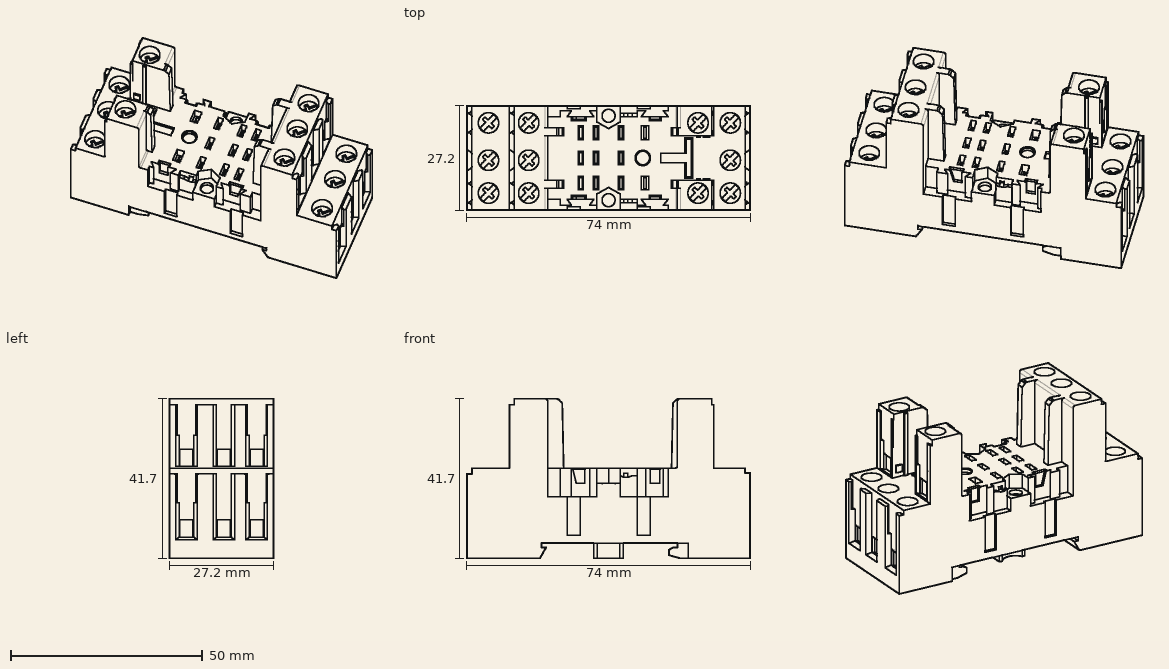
import cadquery as cq

LENGTH = 74.0
WIDTH = 27.2
HEIGHT = 41.7
HALF_WIDTH = WIDTH / 2
DECK_Z = 23.6
SIDES = (1, -1)

LEFT_TIER_X = (11.1, 21.1)
RIGHT_TOWER_X = (55.0, 64.5)
TOWER_INNER_Y = 5.85
INNER_EDGE_RADIUS = 0.75
TOWER_FOOT_RADIUS = 0.45
LEFT_SETBACK = 1.25
RIGHT_SETBACK = 1.3
TOWER_SETBACK = 0.5
UPPER_LIP_Z = 40.2
LEFT_LIP_Z = 22.05
RIGHT_LIP_Z = 22.35

TERMINAL_Y = (9.2, -0.6, -9.2)
MIDDLE_TERMINAL_Y = TERMINAL_Y[1]
OUTER_TERMINAL_Y = (TERMINAL_Y[0], TERMINAL_Y[2])
CHANNEL_HALF_MOUTH = 2.8
CHANNEL_HALF_BACK = 1.9
CHANNEL_HALF_FLARE = 3.1
CHANNEL_NECK_FRACTION = 0.4
LOWER_CHANNEL_FLOOR = 4.8
LOWER_CHANNEL_STEP = 14.5
LOWER_FLOOR_RISE = 0.75
UPPER_CHANNEL_FLOOR = 24.05
UPPER_CHANNEL_STEP = 32.2
WINDOW_WIDTH = 3.4
WINDOW_HEIGHT = 4.5
WINDOW_DEPTH = 0.7
LEFT_SCREW_X = (5.6, 16.1)
RIGHT_SCREW_X = (60.4, 68.8)
SCREW_RADIUS = 2.7
SCREW_DEPTH = 3.1
SCREW_SLOT = (5.0, 1.25, 0.75)
SCREW_CROSS_SLOT = (3.4, 0.9, 0.75)
SCREW_SLOT_ANGLE = 45

RIB_Y = (TOWER_INNER_Y, 7.9)
LEFT_RIB_X = 25.3
RIGHT_RIB_X = 53.4
RIB_DRAFT = 0.4
RIB_CHAMFER = 0.95
RIB_FACET_WIDTH = 0.5
RIB_FACET_DROP = 0.2

KEY_DEPTH = 0.45
TALL_KEY_X = (60.1, 61.0)
TALL_KEY_DROP = 0.4
SHORT_KEY_X = (61.8, 63.5)
SHORT_KEY_Z = (25.0, 27.0)

POCKET_FLOOR_Z = 16.05
DECK_EDGE_Y = 10.8
POST_EDGE_Y = 12.35
LEFT_POCKET_X = (LEFT_TIER_X[1], 34.0)
RIGHT_POCKET_X = (40.0, 52.55)
LEFT_POST_X = 24.4
RIGHT_POST_X = 44.5
LEFT_DOVETAIL = (26.2, 27.3, 32.05, 33.15)
RIGHT_DOVETAIL = (45.6, 46.7, 51.35, 52.55)
GROOVE_X = (26.2, 44.5)
GROOVE_WIDTH = 3.4
GROOVE_DEPTH = 0.8
GROOVE_FLOOR_Z = 6.0
LEDGE_Y = 11.7

WINDOW_MOUTH_REACH = 1.1
WINDOW_CHAMFER = 0.4
WINDOW_FLOOR_Z = 19.6
LEFT_MOUTH_X = (27.3, 31.15)
RIGHT_MOUTH_X = (47.6, 50.8)
LEFT_WINDOW_SLANT = 0.9
LEDGE_HIGH_Z = 21.6
LEDGE_LOW_Z = 21.2
LATCH_HOLE_X = (40.9, 42.0)
LATCH_HOLE_HEIGHT = 1.1
LATCH_HOLE_DEPTH = 0.75
TROUGH_RAMP_END_X = 43.2

HEX_X = (LEFT_POCKET_X[1], RIGHT_POCKET_X[0])
HEX_CENTER_X = sum(HEX_X) / 2
HEX_SHOULDER_Y = 9.4
HEX_TIP_Y = 7.7
HEX_FLOOR_Z = 19.6
HEX_HOLE_Y = 11.0
HEX_HOLE_RADIUS = 1.7
HEX_HOLE_DEPTH = 1.1
SLOT_COLUMNS_X = (29.75, 33.75, 40.25)
SLOT_OUTER_Y = 6.6
SLOT_SIZE = (1.4, 3.55)
WIDE_SLOT_X = 46.55
WIDE_SLOT_SIZE = (2.0, 3.55)
SLOT_THROAT_WIDTH = 0.75
SLOT_END_MARGIN = 0.4
SLOT_MOUTH_DEPTH = 2.6
SLOT_DEPTH = 4.45
PIN_HOLE_X = 45.95
PIN_HOLE_RADIUS = 1.8
PIN_HOLE_DEPTH = 1.1
PIN_HOLE_CHAMFER = 0.2
TEE_BAR_X = (56.9, 59.0)
TEE_BAR_HALF = 5.25
TEE_STEM_X = 50.7
TEE_STEM_HALF = 1.25
TEE_DEPTH = 0.75
TEE_WALL_SLOPE = 27

RAIL_Z = 4.0
HOOK_LEDGE_Z = 2.9
HOOK_BASE_X = 19.1
HOOK_TIP_X = 20.7
HOOK_WALL_X = 19.5
CLIP_BASE_X = 57.9
CLIP_TOE_X = 55.65
CLIP_NOSE_X = 52.75
CLIP_NOSE_Z = (0.8, 2.2)
CLIP_LEDGE_X = (53.9, 55.0)
CLIP_INSET = 1.1
CLIP_HALF_WIDTH = HALF_WIDTH - CLIP_INSET
BLOCK_WIDTH = 7.8
BLOCK_HALF_Y = 9.25
SCOOP_RADIUS = 3.4
SCOOP_CENTER_Y = 10.9


def box(x, y, z):
    """Box spanning three (low, high) ranges given in either order."""
    spans = [(min(r), max(r)) for r in (x, y, z)]
    sizes = [high - low for low, high in spans]
    corner = [low for low, high in spans]
    return cq.Workplane("XY").box(*sizes, centered=False).translate(tuple(corner))


def prism_y(points, y):
    """Extrude an XZ outline between two Y positions."""
    low, high = min(y), max(y)
    return cq.Workplane("XZ", origin=(0, low, 0)).polyline(points).close().extrude(low - high)


def prism_z(points, z):
    """Extrude an XY outline between two heights."""
    low, high = z
    return cq.Workplane("XY", origin=(0, 0, low)).polyline(points).close().extrude(high - low)


def body():
    """Stepped base, deck and rail gap as one side outline, with the upper tiers added."""
    outline = [
        (0, 0), (HOOK_BASE_X, 0), (HOOK_TIP_X, HOOK_LEDGE_Z), (HOOK_WALL_X, HOOK_LEDGE_Z),
        (HOOK_WALL_X, RAIL_Z), (CLIP_BASE_X, RAIL_Z), (CLIP_BASE_X, 0), (LENGTH, 0),
        (LENGTH, RIGHT_LIP_Z), (LENGTH - RIGHT_SETBACK, RIGHT_LIP_Z),
        (LENGTH - RIGHT_SETBACK, DECK_Z), (LEFT_SETBACK, DECK_Z),
        (LEFT_SETBACK, LEFT_LIP_Z), (0, LEFT_LIP_Z),
    ]
    solid = prism_y(outline, (-HALF_WIDTH, HALF_WIDTH))
    solid = solid.union(left_tier())
    for side in SIDES:
        solid = solid.union(right_tower(side))
        for rib in guide_ribs(side):
            solid = solid.union(rib)
    return solid


def left_tier():
    low, high = LEFT_TIER_X
    side_to_side = (-HALF_WIDTH, HALF_WIDTH)
    tier = box(LEFT_TIER_X, side_to_side, (DECK_Z, HEIGHT))
    tier = tier.edges("|Y and >X and >Z").fillet(INNER_EDGE_RADIUS)
    return tier.cut(box((low, low + LEFT_SETBACK), side_to_side, (UPPER_LIP_Z, HEIGHT)))


def right_tower(side):
    """Terminal tower with a rounded inner edge, a filleted foot, and two small keys inside."""
    low, high = RIGHT_TOWER_X
    across = (side * TOWER_INNER_Y, side * HALF_WIDTH)
    tower = box(RIGHT_TOWER_X, across, (DECK_Z, HEIGHT))
    tower = tower.edges("|Y and <X and >Z").fillet(INNER_EDGE_RADIUS)
    tower = tower.cut(box((high - TOWER_SETBACK, high), across, (UPPER_LIP_Z, HEIGHT)))

    foot_profile = (
        cq.Workplane("XZ", origin=(0, min(across), 0))
        .moveTo(low, DECK_Z)
        .lineTo(low - TOWER_FOOT_RADIUS, DECK_Z)
        .radiusArc((low, DECK_Z + TOWER_FOOT_RADIUS), -TOWER_FOOT_RADIUS)
        .close()
    )
    foot = foot_profile.extrude(-(HALF_WIDTH - TOWER_INNER_Y))

    key_y = (side * (TOWER_INNER_Y - KEY_DEPTH), side * TOWER_INNER_Y)
    tall_key = box(TALL_KEY_X, key_y, (DECK_Z, HEIGHT - TALL_KEY_DROP))
    short_key = box(SHORT_KEY_X, key_y, SHORT_KEY_Z)
    return tower.union(foot).union(tall_key).union(short_key)


def guide_rib(root_x, tip_x, outward, side):
    """Drafted rib with a two-facet top corner; outward is its X direction from the tower."""
    top_x = tip_x - outward * RIB_DRAFT
    knee_x = top_x - outward * RIB_CHAMFER
    knee_z = HEIGHT - RIB_FACET_DROP
    outline = [
        (root_x, DECK_Z), (tip_x, DECK_Z), (top_x, knee_z - RIB_CHAMFER),
        (knee_x, knee_z), (knee_x - outward * RIB_FACET_WIDTH, HEIGHT), (root_x, HEIGHT),
    ]
    return prism_y(outline, [side * y for y in RIB_Y])


def guide_ribs(side):
    """Ribs facing each other across the deck, rooted behind the rounded tower edges."""
    left_root = LEFT_TIER_X[1] - INNER_EDGE_RADIUS
    right_root = RIGHT_TOWER_X[0] + INNER_EDGE_RADIUS
    return guide_rib(left_root, LEFT_RIB_X, 1, side), guide_rib(right_root, RIGHT_RIB_X, -1, side)


def channel(face_x, inward, depth, y, floor, step, top, floor_rise):
    """Tapered wire channel, flared behind a neck on the outer terminals, with a window in its back.

    inward is +1 or -1, the X direction from the face into the body.
    """
    back_x = face_x + inward * depth

    neck_x = face_x + inward * depth * CHANNEL_NECK_FRACTION
    taper = CHANNEL_HALF_MOUTH - CHANNEL_HALF_BACK
    half_neck = CHANNEL_HALF_MOUTH - taper * CHANNEL_NECK_FRACTION

    narrow = [
        (face_x, y - CHANNEL_HALF_MOUTH), (back_x, y - CHANNEL_HALF_BACK),
        (back_x, y + CHANNEL_HALF_BACK), (face_x, y + CHANNEL_HALF_MOUTH),
    ]
    cutter = prism_z(narrow, (floor, top))
    if y != MIDDLE_TERMINAL_Y:
        flare = [
            (neck_x, y - half_neck), (back_x, y - CHANNEL_HALF_FLARE),
            (back_x, y + CHANNEL_HALF_FLARE), (neck_x, y + half_neck),
        ]
        cutter = cutter.union(prism_z(flare, (step, top)))
    if floor_rise:
        ramp = [(face_x, floor), (back_x, floor), (back_x, floor + floor_rise)]
        cutter = cutter.cut(prism_y(ramp, (y - CHANNEL_HALF_MOUTH, y + CHANNEL_HALF_MOUTH)))
    sill = floor + floor_rise
    window = box(
        (back_x, back_x + inward * WINDOW_DEPTH),
        (y - WINDOW_WIDTH / 2, y + WINDOW_WIDTH / 2),
        (sill, sill + WINDOW_HEIGHT),
    )
    return cutter.union(window)


def lower_channel(face_x, inward, depth, y, top):
    return channel(face_x, inward, depth, y, LOWER_CHANNEL_FLOOR, LOWER_CHANNEL_STEP, top, LOWER_FLOOR_RISE)


def upper_channel(face_x, inward, depth, y):
    return channel(face_x, inward, depth, y, UPPER_CHANNEL_FLOOR, UPPER_CHANNEL_STEP, UPPER_LIP_Z, 0)


def wire_channels():
    cutters = []
    for y in TERMINAL_Y:
        cutters.append(lower_channel(0, 1, LEFT_SETBACK, y, LEFT_LIP_Z))
        cutters.append(upper_channel(LEFT_TIER_X[0], 1, LEFT_SETBACK, y))
        cutters.append(lower_channel(LENGTH, -1, RIGHT_SETBACK, y, RIGHT_LIP_Z))
    for y in OUTER_TERMINAL_Y:
        cutters.append(upper_channel(RIGHT_TOWER_X[1], -1, TOWER_SETBACK, y))
    return cutters


def screw_well(x, y, top):
    """Round well whose floor carries the crossed driver slots of a screw head."""
    floor = top - SCREW_DEPTH
    well = cq.Workplane("XY", origin=(x, y, floor)).circle(SCREW_RADIUS).extrude(SCREW_DEPTH)
    for (length, width, depth), angle in (
        (SCREW_SLOT, SCREW_SLOT_ANGLE),
        (SCREW_CROSS_SLOT, SCREW_SLOT_ANGLE + 90),
    ):
        slot = cq.Workplane("XY").rect(length, width).extrude(-depth)
        slot = slot.rotate((0, 0, 0), (0, 0, 1), angle).translate((x, y, floor))
        well = well.union(slot)
    return well


def screw_wells():
    rows = (
        (LEFT_SCREW_X[0], TERMINAL_Y, DECK_Z),
        (LEFT_SCREW_X[1], TERMINAL_Y, HEIGHT),
        (RIGHT_SCREW_X[0], OUTER_TERMINAL_Y, HEIGHT),
        (RIGHT_SCREW_X[1], TERMINAL_Y, DECK_Z),
    )
    return [screw_well(x, y, top) for x, row, top in rows for y in row]


def side_pockets(side):
    """Open side pockets, leaving dovetail-edged posts against the deck."""
    outer_y = side * HALF_WIDTH
    post_y = side * POST_EDGE_Y
    deck_y = side * DECK_EDGE_Y
    depth_range = (POCKET_FLOOR_Z, DECK_Z)

    cutters = [box(span, (post_y, outer_y), depth_range) for span in (LEFT_POCKET_X, RIGHT_POCKET_X)]
    cutters.append(box((LEFT_POCKET_X[0], LEFT_POST_X), (deck_y, outer_y), depth_range))
    cutters.append(box((RIGHT_POCKET_X[0], RIGHT_POST_X), (side * LEDGE_Y, outer_y), depth_range))
    for wide_low, narrow_low, narrow_high, wide_high in (LEFT_DOVETAIL, RIGHT_DOVETAIL):
        dovetail = [(wide_low, deck_y), (narrow_low, post_y), (narrow_high, post_y), (wide_high, deck_y)]
        cutters.append(prism_z(dovetail, depth_range))
    for x in GROOVE_X:
        groove_y = (side * (HALF_WIDTH - GROOVE_DEPTH), outer_y)
        cutters.append(box((x, x + GROOVE_WIDTH), groove_y, (GROOVE_FLOOR_Z, POCKET_FLOOR_Z)))
    return cutters


def latch_window(mouth_x, slant, side):
    """Window behind a dovetail: chamfered mouth at the deck above a lower opening."""
    low, high = mouth_x
    mouth = (
        cq.Workplane("XY", origin=((low + high) / 2, side * DECK_EDGE_Y, DECK_Z))
        .rect(high - low, 2 * WINDOW_MOUTH_REACH)
        .extrude(-WINDOW_CHAMFER, taper=45)
    )
    neck_low = low + WINDOW_CHAMFER
    neck_high = high - WINDOW_CHAMFER
    neck_z = DECK_Z - WINDOW_CHAMFER
    outline = [
        (neck_low, neck_z), (neck_low + slant, WINDOW_FLOOR_Z),
        (neck_high, WINDOW_FLOOR_Z), (neck_high, neck_z),
    ]
    neck_y = side * (DECK_EDGE_Y - WINDOW_MOUTH_REACH + WINDOW_CHAMFER)
    return mouth.union(prism_y(outline, (neck_y, side * DECK_EDGE_Y)))


def latch_openings(side):
    """Latch windows, and the troughed ledge with a small square hole next to the hexagon recess."""
    hole_y = (side * (DECK_EDGE_Y - LATCH_HOLE_DEPTH), side * DECK_EDGE_Y)
    low, high = RIGHT_POCKET_X[0], RIGHT_POST_X
    trough = [
        (low, DECK_Z), (low, LEDGE_HIGH_Z), (LATCH_HOLE_X[0], LEDGE_LOW_Z), (LATCH_HOLE_X[1], LEDGE_LOW_Z),
        (TROUGH_RAMP_END_X, LEDGE_HIGH_Z), (high, LEDGE_HIGH_Z), (high, DECK_Z),
    ]
    return [
        latch_window(LEFT_MOUTH_X, LEFT_WINDOW_SLANT, side),
        latch_window(RIGHT_MOUTH_X, 0, side),
        prism_y(trough, (side * DECK_EDGE_Y, side * LEDGE_Y)),
        box(LATCH_HOLE_X, hole_y, (LEDGE_LOW_Z, LEDGE_LOW_Z + LATCH_HOLE_HEIGHT)),
    ]


def hex_recess(side):
    """Half-hexagon recess open to the side, with a round screw seat in its floor."""
    low, high = HEX_X
    outline = [
        (low, side * HALF_WIDTH), (low, side * HEX_SHOULDER_Y), (HEX_CENTER_X, side * HEX_TIP_Y),
        (high, side * HEX_SHOULDER_Y), (high, side * HALF_WIDTH),
    ]
    seat = (
        cq.Workplane("XY", origin=(HEX_CENTER_X, side * HEX_HOLE_Y, HEX_FLOOR_Z))
        .circle(HEX_HOLE_RADIUS)
        .extrude(-HEX_HOLE_DEPTH)
    )
    return prism_z(outline, (HEX_FLOOR_Z, DECK_Z)).union(seat)


def contact_slot(x, y, size):
    """Rectangular contact slot that narrows below its mouth."""
    width, length = size
    top = cq.Workplane("XY", origin=(x, y, DECK_Z))
    mouth = top.rect(width, length).extrude(-SLOT_MOUTH_DEPTH)
    throat = top.rect(SLOT_THROAT_WIDTH, length - 2 * SLOT_END_MARGIN).extrude(-SLOT_DEPTH)
    return mouth.union(throat)


def contact_slots():
    slots = [
        contact_slot(x, y, SLOT_SIZE)
        for x in SLOT_COLUMNS_X
        for y in (SLOT_OUTER_Y, 0, -SLOT_OUTER_Y)
    ]
    for side in SIDES:
        slots.append(contact_slot(WIDE_SLOT_X, side * SLOT_OUTER_Y, WIDE_SLOT_SIZE))
    return slots


def pin_hole():
    top = cq.Workplane("XY", origin=(PIN_HOLE_X, 0, DECK_Z))
    bore = top.circle(PIN_HOLE_RADIUS).extrude(-PIN_HOLE_DEPTH)
    mouth = top.circle(PIN_HOLE_RADIUS + PIN_HOLE_CHAMFER).extrude(-PIN_HOLE_CHAMFER, taper=45)
    return bore.union(mouth)


def tee_recess():
    """T-shaped recess: a bar with sloping walls and a plain stem."""
    floor = DECK_Z - TEE_DEPTH
    low, high = TEE_BAR_X
    center_x = (low + high) / 2
    bar = (
        cq.Workplane("XY", origin=(center_x, 0, DECK_Z))
        .rect(high - low, 2 * TEE_BAR_HALF)
        .extrude(-TEE_DEPTH, taper=TEE_WALL_SLOPE)
    )
    stem = box((TEE_STEM_X, center_x), (-TEE_STEM_HALF, TEE_STEM_HALF), (floor, DECK_Z))
    return bar.union(stem)


def rail_clip():
    """Spring clip nose that grips the rail opposite the fixed hook."""
    outline = [
        (CLIP_BASE_X, 0), (CLIP_TOE_X, 0), (CLIP_NOSE_X, CLIP_NOSE_Z[0]), (CLIP_NOSE_X, CLIP_NOSE_Z[1]),
        (CLIP_LEDGE_X[0], HOOK_LEDGE_Z), (CLIP_LEDGE_X[1], HOOK_LEDGE_Z),
        (CLIP_LEDGE_X[1], RAIL_Z), (CLIP_BASE_X, RAIL_Z),
    ]
    return prism_y(outline, (-CLIP_HALF_WIDTH, CLIP_HALF_WIDTH))


def center_block():
    """Block under the middle, scooped at each end by a rounded screw passage."""
    half = BLOCK_WIDTH / 2
    block = box((HEX_CENTER_X - half, HEX_CENTER_X + half), (-BLOCK_HALF_Y, BLOCK_HALF_Y), (0, RAIL_Z))
    scoops = (
        cq.Workplane("XY")
        .pushPoints([(HEX_CENTER_X, side * SCOOP_CENTER_Y) for side in SIDES])
        .circle(SCOOP_RADIUS)
        .extrude(RAIL_Z)
    )
    return block.cut(scoops)


cutters = wire_channels() + screw_wells() + contact_slots() + [pin_hole(), tee_recess()]
for side in SIDES:
    cutters += side_pockets(side) + latch_openings(side) + [hex_recess(side)]

result = body()
for cutter in cutters:
    result = result.cut(cutter)
result = result.union(rail_clip()).union(center_block())